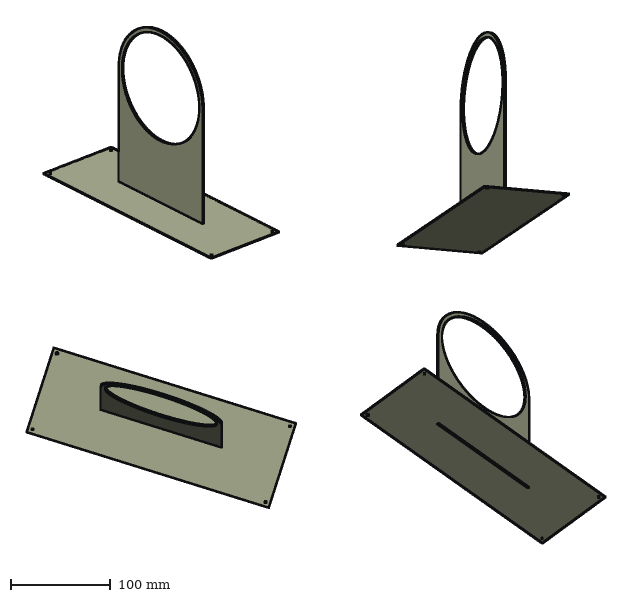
import cadquery as cq

base_length = 254.5
base_width = 90.0
base_thickness = 1.0

total_height = 192.5
panel_width = 127.5
panel_thickness = 2.0
window_diameter = 117.5
panel_radius = panel_width / 2
arch_center_z = total_height - panel_radius

hole_inset_x = 4.8
hole_inset_y = 4.5
hole_x = base_length / 2 - hole_inset_x
hole_y = base_width / 2 - hole_inset_y
small_hole_diameter = 1.3
medium_hole_diameter = 1.7
large_hole_diameter = 2.2
corner_holes = [
    (-hole_x, -hole_y, small_hole_diameter),
    (hole_x, hole_y, small_hole_diameter),
    (hole_x, -hole_y, medium_hole_diameter),
    (-hole_x, hole_y, large_hole_diameter),
]


def make_base():
    """Thin plate resting on Z = 0, with a through hole at each corner."""
    base = cq.Workplane("XY").rect(base_length, base_width).extrude(base_thickness)
    for x, y, diameter in corner_holes:
        hole = cq.Workplane("XY").center(x, y).circle(diameter / 2).extrude(base_thickness)
        base = base.cut(hole)
    return base


def make_panel():
    """Upright panel centred on Y = 0, with its foot merged into the base."""
    panel = (
        cq.Workplane("XZ")
        .moveTo(-panel_radius, 0)
        .lineTo(panel_radius, 0)
        .lineTo(panel_radius, arch_center_z)
        .threePointArc((0, total_height), (-panel_radius, arch_center_z))
        .close()
        .extrude(panel_thickness / 2, both=True)
    )
    window = (
        cq.Workplane("XZ")
        .center(0, arch_center_z)
        .circle(window_diameter / 2)
        .extrude(panel_thickness, both=True)
    )
    return panel.cut(window)


result = make_base().union(make_panel())